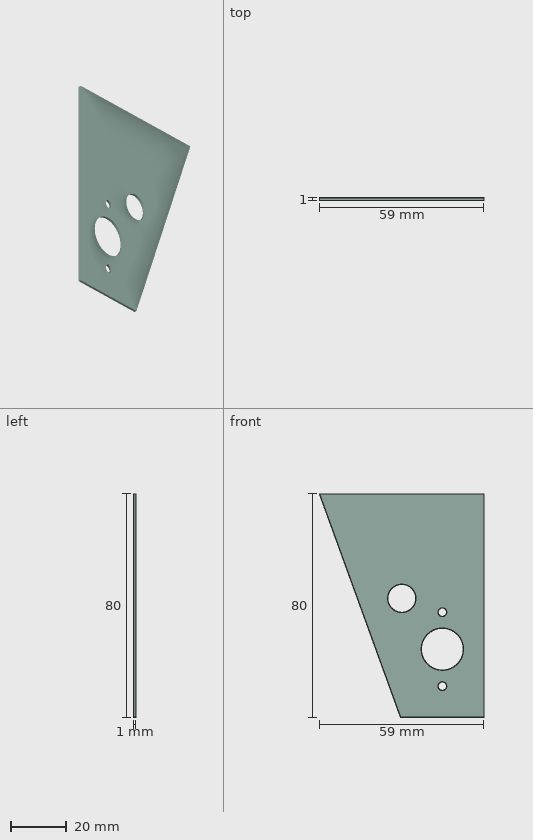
import cadquery as cq

thickness = 1.0
height = 80.0
bottom_width = 30.0
top_width = 59.04
top_left_x = bottom_width - top_width

large_diameter = 15.0
large_x = bottom_width / 2
large_z = 24.4
screw_diameter = 3.0
screw_spacing = 26.5

medium_diameter = 10.0
medium_x = bottom_width - top_width / 2
medium_z = 42.6


def make_plate():
    """Four-sided sheet in the XZ plane, with its front face at Y = 0."""
    outline = [
        (0, 0),
        (bottom_width, 0),
        (bottom_width, height),
        (top_left_x, height),
    ]
    return cq.Workplane("XZ").polyline(outline).close().extrude(-thickness)


def through_hole(x, z, diameter):
    """Cylinder along Y that passes through the sheet."""
    return cq.Workplane("XZ").center(x, z).circle(diameter / 2).extrude(-thickness)


holes = [
    (large_x, large_z, large_diameter),
    (large_x, large_z + screw_spacing / 2, screw_diameter),
    (large_x, large_z - screw_spacing / 2, screw_diameter),
    (medium_x, medium_z, medium_diameter),
]

result = make_plate()
for x, z, diameter in holes:
    result = result.cut(through_hole(x, z, diameter))